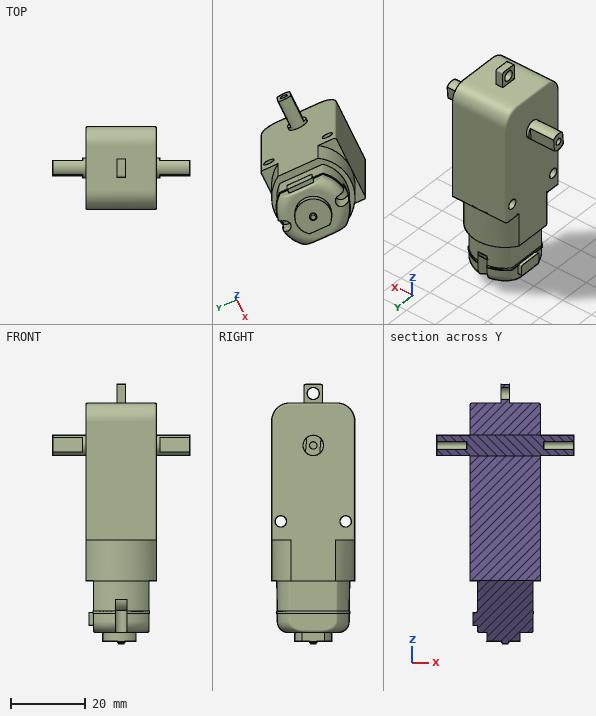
import cadquery as cq
import math


housing_width = 19.1
housing_depth = 22.5
housing_top = 11.5
block_length = 37.0
sleeve_length = 11.0
top_corner_radius = 5.0
side_edge_radius = 0.6
screw_hole_diameter = 3.0
screw_hole_spacing = 17.5
screw_hole_drop = 32.0
block_bottom = housing_top - block_length
housing_bottom = block_bottom - sleeve_length

tab_thickness = 2.3
tab_size = 5.0
tab_hole_diameter = 3.2
tab_edge_radius = 0.5

shaft_length = 37.0
shaft_diameter = 5.5
shaft_flat_width = 3.85
shaft_flat_length = 8.1
shaft_turn = -5.0
shaft_bore_diameter = 2.0
shaft_bore_depth = shaft_flat_length

motor_width = 15.0
motor_diameter = 19.7
motor_length = 14.0
motor_end_radius = 3.0
motor_edge_radius = 0.6
motor_bottom = housing_bottom - motor_length

rim_overhang = 0.18
rim_height = 0.65
rim_edge_radius = 0.15
rim_drop = 8.2

notch_width = 3.2
notch_length = 8.9
tongue_radius = 2.9

terminal_reach = 1.2
terminal_root = 3.0
terminal_width = 7.4
terminal_height = 3.6
terminal_corner_radius = 0.5
terminal_top = housing_bottom - 8.5

boss_diameter = 10.0
boss_flat_offset = 4.0
boss_height = 2.35
pin_diameter = 2.0
pin_chamfer = 0.3
total_height = 70.0
pin_bottom = housing_top + tab_size - total_height
pin_height = motor_bottom - boss_height - pin_bottom


def flatted_cylinder(diameter, width, top, height):
    """Vertical cylinder below the height `top`, with flats facing -X and +X."""
    cylinder = cq.Workplane("XY").workplane(offset=top - height).circle(diameter / 2).extrude(height)
    slab = cq.Workplane("XY").workplane(offset=top - height).rect(width, diameter).extrude(height)
    return cylinder.intersect(slab)


def make_tab():
    """Upright lug with a cross hole and rounded top edges."""
    tab = (
        cq.Workplane("XY")
        .workplane(offset=housing_top)
        .rect(tab_thickness, tab_size)
        .extrude(tab_size)
        .faces(">Z")
        .edges("|X")
        .fillet(tab_edge_radius)
    )
    hole = (
        cq.Workplane("YZ")
        .center(0, housing_top + tab_size / 2)
        .circle(tab_hole_diameter / 2)
        .extrude(tab_thickness, both=True)
    )
    return tab.cut(hole)


def make_housing():
    """Gearbox block with its motor sleeve, mounting tab and holes."""
    block = (
        cq.Workplane("XY")
        .workplane(offset=block_bottom)
        .rect(housing_width, housing_depth)
        .extrude(block_length)
        .faces(">Z")
        .edges("|X")
        .fillet(top_corner_radius)
    )
    block = block.faces("<X or >X").edges("not <Z").fillet(side_edge_radius)
    sleeve = flatted_cylinder(housing_depth, housing_width, block_bottom, sleeve_length)
    screw_holes = (
        cq.Workplane("YZ")
        .center(0, housing_top - screw_hole_drop)
        .pushPoints([(side * screw_hole_spacing / 2, 0) for side in (-1, 1)])
        .circle(screw_hole_diameter / 2)
        .extrude(housing_width, both=True)
    )
    shaft_hole = cq.Workplane("YZ").circle(shaft_diameter / 2).extrude(housing_width, both=True)
    return block.union(sleeve).union(make_tab()).cut(screw_holes).cut(shaft_hole)


def make_shaft():
    """Output shaft with two flats and a blind centre bore at each end."""
    shaft = cq.Workplane("YZ").circle(shaft_diameter / 2).extrude(shaft_length / 2, both=True)
    flat_offset = (shaft_flat_width + shaft_diameter) / 2
    for end in (-1, 1):
        flat_middle = end * (shaft_length - shaft_flat_length) / 2
        for side in (-1, 1):
            flat = cq.Workplane("XY").box(shaft_flat_length, shaft_diameter, shaft_diameter)
            shaft = shaft.cut(flat.translate((flat_middle, side * flat_offset, 0)))
        bore = (
            cq.Workplane("YZ")
            .workplane(offset=end * shaft_length / 2)
            .circle(shaft_bore_diameter / 2)
            .extrude(-end * shaft_bore_depth)
        )
        shaft = shaft.cut(bore)
    return shaft.rotate((0, 0, 0), (1, 0, 0), shaft_turn)


def make_can():
    """Flat-sided motor body with a rounded lower end."""
    cylinder = (
        cq.Workplane("XY")
        .workplane(offset=motor_bottom)
        .circle(motor_diameter / 2)
        .extrude(motor_length)
        .faces("<Z")
        .edges()
        .fillet(motor_end_radius)
    )
    slab = (
        cq.Workplane("XY")
        .workplane(offset=motor_bottom)
        .rect(motor_width, motor_diameter)
        .extrude(motor_length)
    )
    can = cylinder.intersect(slab)
    return can.faces("<X or >X").edges("not >Z").fillet(motor_edge_radius)


def make_rim():
    """Thin band that stands slightly proud of the motor body."""
    growth = 2 * rim_overhang
    rim_top = housing_bottom - rim_drop
    rim = flatted_cylinder(motor_diameter + growth, motor_width + growth, rim_top, rim_height)
    rim = rim.edges("|Z").fillet(motor_edge_radius)
    return rim.faces(">Z").edges().fillet(rim_edge_radius)


def make_notch(side):
    """Cutter for a notch on one Y side: a round-floored slot that fades out over the bent tongue."""
    wall = math.sqrt((motor_diameter / 2) ** 2 - (notch_width / 2) ** 2)
    outside = wall + notch_width
    floor = wall - tongue_radius
    notch_top = motor_bottom + notch_length
    profile = (
        cq.Workplane("YZ")
        .moveTo(outside, motor_bottom)
        .lineTo(floor, motor_bottom)
        .lineTo(floor, notch_top - tongue_radius)
        .radiusArc((wall, notch_top), -tongue_radius)
        .lineTo(outside, notch_top)
        .close()
        .extrude(notch_width / 2, both=True)
    )
    slot = (
        cq.Workplane("XY")
        .workplane(offset=motor_bottom)
        .center(0, floor + notch_width / 2)
        .circle(notch_width / 2)
        .extrude(notch_length)
    )
    outer = (
        cq.Workplane("XY")
        .box(notch_width, outside - floor, notch_length, centered=(True, False, False))
        .translate((0, floor + notch_width / 2, motor_bottom))
    )
    cutter = profile.intersect(slot.union(outer))
    return cutter if side > 0 else cutter.mirror("XZ")


def make_terminal():
    """Block on the -X flat that carries the contacts."""
    return (
        cq.Workplane("XY")
        .box(terminal_reach + terminal_root, terminal_width, terminal_height, centered=(False, True, False))
        .edges("|X")
        .fillet(terminal_corner_radius)
        .translate((-motor_width / 2 - terminal_reach, 0, terminal_top - terminal_height))
    )


def make_rear_end():
    """Bearing boss with one flat, and the chamfered shaft end below it."""
    boss_bottom = motor_bottom - boss_height
    boss = cq.Workplane("XY").workplane(offset=boss_bottom).circle(boss_diameter / 2).extrude(boss_height)
    trim = cq.Workplane("XY").box(boss_diameter, boss_diameter, boss_height, centered=(False, True, False))
    boss = boss.cut(trim.translate((boss_flat_offset, 0, boss_bottom)))
    pin = (
        cq.Workplane("XY")
        .workplane(offset=pin_bottom)
        .circle(pin_diameter / 2)
        .extrude(pin_height)
        .faces("<Z")
        .chamfer(pin_chamfer)
    )
    return boss.union(pin)


def make_motor():
    """Motor body with its rim, notches, terminal block and rear end."""
    motor = make_can().union(make_rim())
    for side in (-1, 1):
        motor = motor.cut(make_notch(side))
    return motor.union(make_terminal()).union(make_rear_end())


housing = make_housing()
shaft = make_shaft()
motor = make_motor()

result = cq.Compound.makeCompound([housing.val(), shaft.val(), motor.val()])